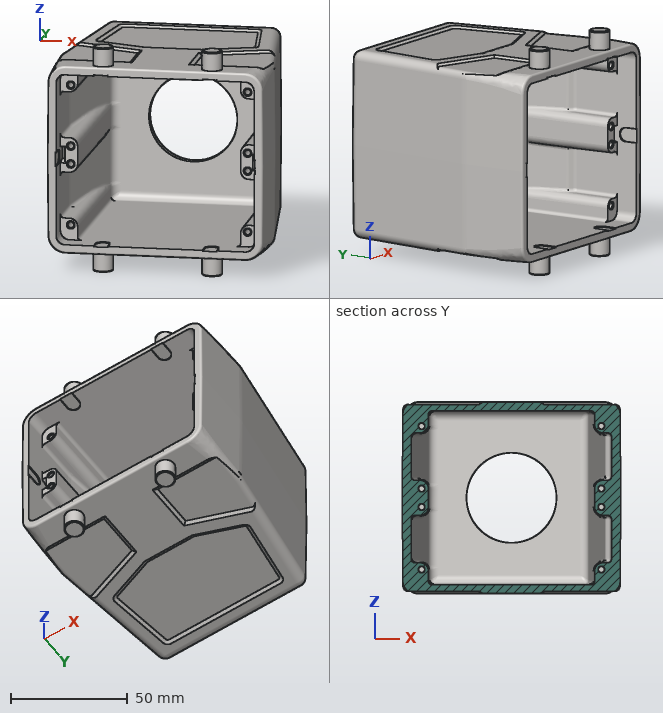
import cadquery as cq
import math

length = 94.0
half_width = 47.0
half_height = 41.1
draft = 0.5
edge_radius = 4.0
rim_radius = 1.0

bend_y = 29.9
bend_radius = 19.7
side_angle = 8.0
front_overrun = 3.0
front_corner_radius = 7.7
mid_corner_radius = 5.1

cavity_half_width = 43.1
cavity_half_height = 37.3
cavity_depth = 90.3
cavity_edge_radius = 3.9
floor_radius = 3.7
cavity_draft = 0.3
left_bend_x = 42.7
left_back_x = 35.1
right_step_x = (42.5, 40.2)
right_step_y = (30.8, 33.2)
step_radius = 2.5
right_back_x = 32.6
cable_hole_diameter = 38.5

post_front_y = 9.8
post_inner_x = 35.6
post_radius = 3.5
post_draft = 0.4
post_root_radius = 1.6
middle_post_half = 7.6
corner_post_z = 27.8
screw_x = 38.5
screw_z = (3.9, 30.7)
screw_diameter = 2.7
screw_mouth_diameter = 3.5
screw_mouth_depth = (screw_mouth_diameter - screw_diameter) / 2
screw_depth = 11.8
notch_half = 3.6
notch_x = 40.9
notch_depth = 3.9
notch_taper = 16.0

pin_diameter = 8.8
pin_x = 23.7
pin_y = 6.3
pin_tip_z = 49.25
pin_chamfer = 0.5
slot_width = 6.1
slot_length = 8.5
slot_depth = 0.4

recess_depth = 1.0
recess_wall_run = 1.63
recess_slope = math.degrees(math.atan2(recess_wall_run, recess_depth))
panel_back_y = 85.9
panel_side_y = 51.5
panel_half_width = 35.7
panel_corner_radius = 2.6
recess_inner_x = 12.4
panel_front_y = 42.8
recess_front_y = 13.0
recess_shoulder_y = 36.6
recess_slant = 20.0
recess_edge_radius = 3.1
recess_overhang = 0.3
recess_overrun = 19.7
recess_cut_depth = 3.0

tolerance = 0.1
clearance = 1.0


def line_with_bend(path, start, corner, end, radius):
    """Draw from start through a rounded corner to end."""
    a = cq.Vector(*start)
    c = cq.Vector(*corner)
    b = cq.Vector(*end)
    to_a = (a - c).normalized()
    to_b = (b - c).normalized()
    half_angle = to_a.getAngle(to_b) / 2
    tangent = radius / math.tan(half_angle)
    middle_gap = radius / math.sin(half_angle) - radius
    middle = c + (to_a + to_b).normalized() * middle_gap
    entry = c + to_a * tangent
    leave = c + to_b * tangent
    return (
        path.lineTo(entry.x, entry.y)
        .threePointArc((middle.x, middle.y), (leave.x, leave.y))
        .lineTo(b.x, b.y)
    )


def mirrored(solid, plane):
    """The solid together with its mirror image."""
    return solid.union(solid.mirror(plane))


def plan_outline(extra):
    """Hood outline in plan, grown outward at the sides by extra."""
    side = half_width + extra
    back = side - (length - bend_y) * math.tan(math.radians(side_angle))
    path = cq.Workplane("XY").moveTo(-side, -front_overrun).lineTo(side, -front_overrun)
    path = line_with_bend(path, (side, -front_overrun), (side, bend_y), (back, length), bend_radius)
    path = path.lineTo(-back, length)
    path = line_with_bend(path, (-back, length), (-side, bend_y), (-side, -front_overrun), bend_radius)
    return path.close()


def half_hood(extra, height, radius):
    """Upper half of the outer shape with its top and back edges rounded."""
    block = plan_outline(extra).extrude(height, taper=draft)
    behind_front = cq.selectors.BoxSelector(
        (-2 * length, clearance - front_overrun, clearance), (2 * length, 2 * length, 2 * length))
    return block.edges(behind_front).fillet(radius)


def front_corner_cutter():
    """Material outside the growing corner rounding at +X, +Z, from the bend to the front."""
    lean = math.tan(math.radians(draft))

    def section(y, radius):
        top_x = half_width - half_height * lean - radius
        side_z = half_height - radius
        side_x = half_width - side_z * lean
        bulge = radius * math.sin(math.radians(45))
        outer_x = half_width + clearance
        outer_z = half_height + clearance
        return (
            cq.Workplane("XZ", origin=(0, y, 0))
            .moveTo(top_x, half_height)
            .threePointArc((top_x + bulge, side_z + bulge), (side_x, side_z))
            .lineTo(outer_x, side_z)
            .lineTo(outer_x, outer_z)
            .lineTo(top_x, outer_z)
            .close()
            .val()
        )

    sections = [
        section(bend_y, edge_radius),
        section(bend_y / 2, mid_corner_radius),
        section(0, front_corner_radius),
    ]
    return cq.Workplane(cq.Solid.makeLoft(sections))


def hood():
    body = mirrored(half_hood(0, half_height, edge_radius), "XY")
    trim = cq.Workplane("XY").box(4 * half_width, 2 * length, 4 * half_height).translate((0, -length, 0))
    body = body.cut(trim)
    corners = mirrored(mirrored(front_corner_cutter(), "YZ"), "XY")
    return body.cut(corners)


def panel_recess():
    """Large six-sided recess toward the back of the upper face."""
    back_x = panel_half_width - (panel_back_y - panel_side_y) * math.tan(math.radians(side_angle))
    points = [
        (-back_x, panel_back_y), (back_x, panel_back_y), (panel_half_width, panel_side_y),
        (recess_inner_x, panel_front_y), (-recess_inner_x, panel_front_y),
        (-panel_half_width, panel_side_y),
    ]
    side_corners = cq.selectors.BoxSelector(
        (-length, panel_side_y - clearance, -clearance), (length, length, clearance))
    outline = cq.Sketch().polygon(points + points[:1])
    outline = outline.vertices(side_corners).fillet(panel_corner_radius)
    return (
        cq.Workplane("XY", origin=(0, 0, half_height))
        .placeSketch(outline)
        .extrude(-recess_depth, taper=recess_slope)
    )


def side_recess():
    """Recess at the +X side of the upper face, its floor rounding off down the side."""
    outer_x = half_width + recess_overrun
    outer_y = recess_shoulder_y + (outer_x - recess_inner_x) * math.tan(math.radians(recess_slant))
    prism = (
        cq.Workplane("XY", origin=(0, 0, half_height))
        .polyline([
            (recess_inner_x, recess_front_y), (outer_x, recess_front_y),
            (outer_x, outer_y), (recess_inner_x, recess_shoulder_y),
        ])
        .close()
        .extrude(-recess_cut_depth, taper=recess_slope)
    )
    floor = half_hood(recess_overhang, half_height - recess_depth, recess_edge_radius)
    return prism.cut(floor)


def screw_post(bottom_z, top_z, rounded_corners):
    """Post along the +X wall, with its inner corners rounded, widening toward the back."""
    wide = half_width - post_inner_x
    profile = cq.Sketch().rect(wide, top_z - bottom_z).vertices(rounded_corners).fillet(post_radius)
    return (
        cq.Workplane("XZ", origin=(post_inner_x + wide / 2, post_front_y, (bottom_z + top_z) / 2))
        .placeSketch(profile)
        .extrude(-length, taper=-post_draft)
    )


def screw_posts():
    middle = screw_post(-middle_post_half, middle_post_half, "<X")
    corner = screw_post(corner_post_z, half_height, "<X and <Y")
    one_side = middle.union(mirrored(corner, "XY"))
    return mirrored(one_side, "YZ")


def cavity_space():
    """Empty space of the cavity before the posts are left standing."""
    path = cq.Workplane("XY").moveTo(-cavity_half_width, 0).lineTo(cavity_half_width, 0)
    step_start = (right_step_x[0], right_step_y[0])
    step_end = (right_step_x[1], right_step_y[1])
    step_middle = (sum(right_step_x) / 2, sum(right_step_y) / 2)
    path = line_with_bend(path, (cavity_half_width, 0), step_start, step_middle, step_radius)
    path = line_with_bend(path, step_middle, step_end, (right_back_x, cavity_depth), step_radius)
    path = path.lineTo(-left_back_x, cavity_depth)
    path = line_with_bend(path, (-left_back_x, cavity_depth), (-left_bend_x, bend_y),
                          (-cavity_half_width, 0), bend_radius)
    space = path.close().extrude(half_height, both=True)
    height_limit = (
        cq.Workplane("XZ")
        .rect(4 * half_width, 2 * cavity_half_height)
        .extrude(-length, taper=cavity_draft)
    )
    return space.intersect(height_limit)


def is_mouth_corner(edge):
    """Corner edge of the cavity between the rim and a corner post."""
    box = edge.BoundingBox()
    return box.ymax < post_front_y + tolerance and box.ylen > post_front_y / 2


def is_post_root(edge):
    """Edge where the flank of a post meets the side wall, behind the post face."""
    box = edge.BoundingBox()
    wall_reach = max(abs(box.xmin), abs(box.xmax))
    touches_wall = wall_reach > notch_x or box.ymin > post_front_y + clearance
    below_roof = abs(edge.positionAt(0.5).z) < corner_post_z + post_radius
    return touches_wall and below_roof and box.ylen > tolerance and box.ymin > post_front_y - tolerance


def is_post_foot(edge):
    """Edge where the inner face of a corner post meets the upper or lower wall."""
    box = edge.BoundingBox()
    on_outer_wall = abs(edge.positionAt(0.5).z) > corner_post_z + post_radius + clearance
    on_inner_face = box.xlen < clearance and max(abs(box.xmin), abs(box.xmax)) < post_inner_x + tolerance
    return on_outer_wall and on_inner_face and box.ylen > length / 2


def fillet_where(body, test, radius):
    chosen = [edge for edge in body.edges().vals() if test(edge)]
    return body.newObject(chosen).fillet(radius)


def cavity():
    space = cavity_space().cut(screw_posts())
    space = fillet_where(space, is_mouth_corner, cavity_edge_radius)
    space = fillet_where(space, is_post_root, post_root_radius)
    space = space.edges(">Y").fillet(floor_radius)
    return fillet_where(space, is_post_foot, post_root_radius)


def screw_holes():
    places = [(side * screw_x, up * z) for side in (-1, 1) for up in (-1, 1) for z in screw_z]
    face = cq.Workplane("XZ", origin=(0, post_front_y, 0)).pushPoints(places)
    bores = face.circle(screw_diameter / 2).extrude(-screw_depth)
    mouths = face.circle(screw_mouth_diameter / 2).extrude(-screw_mouth_depth, taper=45)
    return bores.union(mouths)


def post_notches():
    """Tapered notches between the middle screws, reaching the side walls."""
    wide = 2 * (half_width - notch_x)
    pocket = (
        cq.Workplane("XZ", origin=(half_width, post_front_y, 0))
        .rect(wide, 2 * notch_half)
        .extrude(-notch_depth, taper=notch_taper)
    )
    return mirrored(pocket, "YZ").intersect(cavity_space())


def round_ended_slot(center_x, height):
    """Upright cutter for a slot running in from Y = 0, reaching from Z = 0 to height."""
    straight = slot_length - slot_width / 2
    return (
        cq.Workplane("XY")
        .center(center_x, 0)
        .moveTo(-slot_width / 2, 0)
        .lineTo(slot_width / 2, 0)
        .lineTo(slot_width / 2, straight)
        .threePointArc((0, slot_length), (-slot_width / 2, straight))
        .close()
        .extrude(height)
    )


def wall_slots():
    """Slots in the cavity walls: one behind each pin and one on each side wall."""
    upright = round_ended_slot(pin_x, cavity_half_height + slot_depth)
    upright = mirrored(mirrored(upright, "YZ"), "XY")
    sideways = round_ended_slot(0, cavity_half_width + slot_depth)
    sideways = mirrored(sideways.rotate((0, 0, 0), (0, 1, 0), 90), "YZ")
    return upright.union(sideways)


def pins():
    root_z = (half_height + cavity_half_height) / 2 + slot_depth
    pin = (
        cq.Workplane("XY", origin=(pin_x, pin_y, root_z))
        .circle(pin_diameter / 2)
        .extrude(pin_tip_z - root_z)
        .faces(">Z")
        .chamfer(pin_chamfer)
    )
    return mirrored(mirrored(pin, "YZ"), "XY")


def cable_hole():
    return (
        cq.Workplane("XZ", origin=(0, length, 0))
        .circle(cable_hole_diameter / 2)
        .extrude(2 * (length - cavity_depth))
    )


result = hood().edges("<Y").fillet(rim_radius)
result = result.cut(mirrored(panel_recess(), "XY"))
result = result.cut(mirrored(mirrored(side_recess(), "YZ"), "XY"))
result = result.cut(cavity())
result = result.cut(wall_slots())
result = result.cut(screw_holes()).cut(post_notches()).cut(cable_hole())
result = result.union(pins())